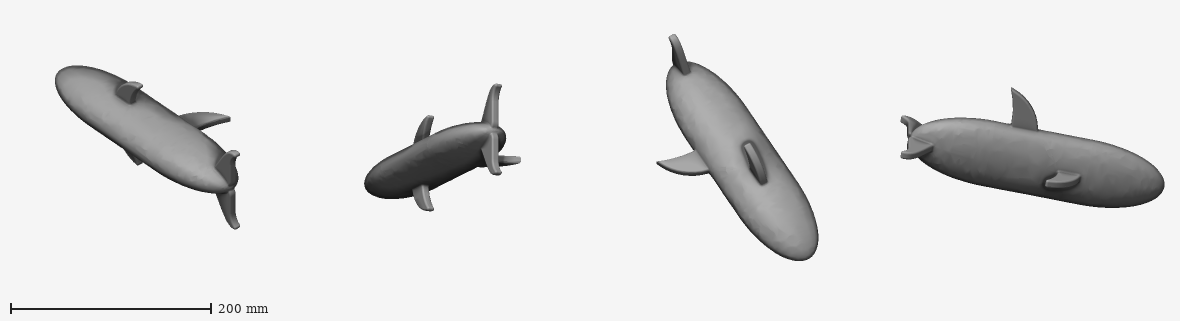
import cadquery as cq

hull_width = 70.0
hull_height = 40.0
mid_length = 100.0
cap_length = 80.0

half_mid = mid_length / 2
half_width = hull_width / 2
half_height = hull_height / 2

fin_thickness = 8.0
fin_edge_radius = 2.0
fin_root_radius = 2.0
on_hull_tolerance = 1e-4

side_lead_root = (-45.3, 10.0)
side_lead_mid = (-33.0, 38.8)
side_tip = (-5.05, 49.75)
side_trail_mid = (-16.4, 35.5)
side_tip_radius = 2.2
side_trail_root = (-20.3, 10.0)

dorsal_lead_root = (5.2, 25.0)
dorsal_lead_mid = (19.2, 60.2)
dorsal_tip = (42.2, 74.41)
dorsal_trail_mid = (36.0, 55.0)
dorsal_trail_root = (34.0, 25.0)

fluke_lead_root = (98.0, 5.0)
fluke_lead_points = [(107.0, 15.7), (119.5, 35.8), (129.5, 45.7)]
fluke_tip = (141.71, 45.3)
fluke_tip_radius = 2.1
fluke_trail_mid = (134.0, 38.2)
fluke_trail_x = 131.9
fluke_trail_top = 30.4
fluke_trail_bottom = 9.0
fluke_heel = (127.0, 1.0)


def make_hull():
    """Round hull turned about X, then widened in Y to its elliptical section."""
    round_hull = (
        cq.Workplane("XY")
        .moveTo(-half_mid, -half_height)
        .lineTo(half_mid, -half_height)
        .ellipseArc(cap_length, half_height, angle1=-90, angle2=0, sense=1)
        .lineTo(-half_mid - cap_length, 0)
        .ellipseArc(cap_length, half_height, angle1=180, angle2=270, sense=1)
        .close()
        .revolve(360, (0, 0), (1, 0))
    )
    widen_y = cq.Matrix([
        [1, 0, 0, 0],
        [0, half_width / half_height, 0, 0],
        [0, 0, 1, 0],
    ])
    return cq.Workplane(round_hull.val().transformGeometry(widen_y))


def side_outline():
    return (
        cq.Workplane("XZ")
        .moveTo(*side_lead_root)
        .threePointArc(side_lead_mid, side_tip)
        .threePointArc(side_trail_mid, side_trail_root)
        .close()
    )


def dorsal_outline():
    return (
        cq.Workplane("XY")
        .moveTo(*dorsal_lead_root)
        .threePointArc(dorsal_lead_mid, dorsal_tip)
        .threePointArc(dorsal_trail_mid, dorsal_trail_root)
        .close()
    )


def fluke_outline():
    return (
        cq.Workplane("XZ")
        .moveTo(*fluke_lead_root)
        .spline([*fluke_lead_points, fluke_tip], includeCurrent=True)
        .threePointArc(fluke_trail_mid, (fluke_trail_x, fluke_trail_top))
        .lineTo(fluke_trail_x, fluke_trail_bottom)
        .tangentArcPoint(fluke_heel, relative=False)
        .close()
    )


def side_fin():
    slab = side_outline().extrude(fin_thickness / 2, both=True)
    slab = slab.edges("|Y").edges(">X").fillet(side_tip_radius)
    return slab.faces("|Y").edges().fillet(fin_edge_radius)


def dorsal_fin():
    slab = dorsal_outline().extrude(fin_thickness / 2, both=True)
    return slab.faces("|Z").edges().fillet(fin_edge_radius)


def fluke():
    slab = fluke_outline().extrude(fin_thickness / 2, both=True)
    slab = slab.edges("|Y").edges(">X").fillet(fluke_tip_radius)
    return slab.faces("|Y").edges().fillet(fin_edge_radius)


def hull_level(point):
    """1 on the hull surface, less inside, more outside."""
    beyond_mid = max(0.0, abs(point.x) - half_mid)
    return (
        (beyond_mid / cap_length) ** 2
        + (point.y / half_width) ** 2
        + (point.z / half_height) ** 2
    )


def lies_on_hull(edge):
    return all(
        abs(hull_level(edge.positionAt(fraction)) - 1) < on_hull_tolerance
        for fraction in (0, 0.5, 1)
    )


def attach(body, fin):
    """Join a fin to the body and fillet the line where it leaves the hull."""
    box = fin.val().BoundingBox()
    low = (box.xmin, box.ymin, box.zmin)
    high = (box.xmax, box.ymax, box.zmax)
    around_fin = cq.selectors.BoxSelector(low, high)
    joined = body.union(fin)
    root_edges = joined.edges(around_fin).filter(lies_on_hull)
    return root_edges.fillet(fin_root_radius)


upper_side_fin = side_fin()
upper_fluke = fluke()
fins = [
    upper_side_fin,
    upper_side_fin.mirror("XY"),
    dorsal_fin(),
    upper_fluke,
    upper_fluke.mirror("XY"),
]

result = make_hull()
for fin in fins:
    result = attach(result, fin)